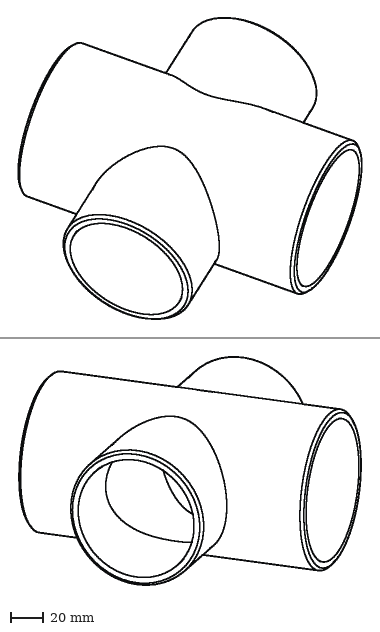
import cadquery as cq

run_length = 190.5
run_outer_diameter = 101.5
run_bore_diameter = 90.1
branch_length = 183.8
branch_outer_diameter = 89.0
branch_bore_diameter = 77.5
end_chamfer = 2.0


def centred_cylinder(plane, diameter, length):
    """Cylinder centred on the origin, with its axis normal to the plane."""
    return cq.Workplane(plane).circle(diameter / 2).extrude(length / 2, both=True)


def pipe_body(plane, diameter, length):
    """Solid pipe envelope with a chamfered outer rim at both ends."""
    return centred_cylinder(plane, diameter, length).edges("%CIRCLE").chamfer(end_chamfer)


run_body = pipe_body("YZ", run_outer_diameter, run_length)
branch_body = pipe_body("XZ", branch_outer_diameter, branch_length)

run_bore = centred_cylinder("YZ", run_bore_diameter, run_length)
branch_bore = centred_cylinder("XZ", branch_bore_diameter, branch_length)

result = run_body.union(branch_body).cut(run_bore).cut(branch_bore)